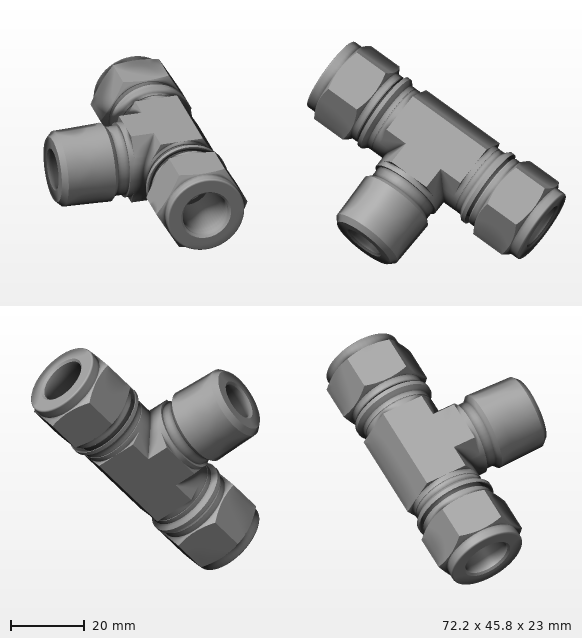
import cadquery as cq
import math


overall_length = 72.2
half_length = overall_length / 2
branch_reach = 32.9

body_flats = 20.6
body_radius = body_flats / 2
body_half_length = 12.55
body_flat_half_width = body_radius / math.sqrt(3)
back_corner = 12.0
flank_tangent = body_radius * math.cos(math.radians(30))
flank_tangent_height = body_radius * math.sin(math.radians(30))
branch_hex_end = 12.4
branch_collar_end = 13.9

fine_groove_inner = 14.1
fine_groove_outer = 14.45
fine_groove_radius = 10.1
ring_radius = 23.0 / 2
ring_cone_end = 17.05
ring_end = 18.2
ring_cone_start = ring_cone_end - (ring_radius - body_radius)
neck_radius = 18.9 / 2
ring_dish_radius = 11.3
ring_dish_bottom = ring_end - (ring_dish_radius - neck_radius)
skirt_start = 19.0
skirt_radius = 21.5 / 2
skirt_bevel_length = 0.3
skirt_bevel_drop = 0.15

nut_flats = 22.4
nut_start = 21.1
nut_end = 33.15
nut_cap_radius = 21.8 / 2
nut_rim_fillet = 0.5
nut_chamfer_angle = math.radians(30)

stud_neck_radius = 19.0 / 2
stud_flank_start = 16.9
stud_thread_start = 18.2
stud_thread_radius = 21.65 / 2
stud_tip_radius = 18.0 / 2
stud_tip_chamfer = 1.5
thread_taper = 1 / 16

through_radius = 10.4 / 2
tube_radius = 12.9 / 2
tube_depth = 18.05
mouth_chamfer = 0.6


def corner_radius(flats):
    """Distance from a hexagon's centre to its corners."""
    return flats / math.sqrt(3)


def hex_prism(flats, start, end):
    """Hexagonal bar along +X with flats facing +Z and -Z."""
    return (
        cq.Workplane("YZ", origin=(start, 0, 0))
        .polygon(6, 2 * corner_radius(flats))
        .extrude(end - start)
    )


def turned(profile):
    """Revolve an (axial, radial) profile about the X axis."""
    return cq.Workplane("XY").polyline(profile).close().revolve(360, (0, 0, 0), (1, 0, 0))


def to_branch(solid):
    """Swing a solid lying along +X round to -Y."""
    return solid.rotate((0, 0, 0), (0, 0, 1), -90)


def to_left(solid):
    """Mirror a solid on the +X side to the -X side."""
    return solid.mirror("YZ")


def cylinder(radius, length):
    """Cylinder on the X axis, from the centre towards +X."""
    return cq.Workplane("YZ").circle(radius).extrude(length)


def run_body():
    """Bar along X: hexagon flanks and a corner at the back, cut flat between the tangents at the front."""
    profile = [
        (-flank_tangent, flank_tangent_height),
        (-body_flat_half_width, body_radius),
        (body_flat_half_width, body_radius),
        (back_corner, 0),
        (body_flat_half_width, -body_radius),
        (-body_flat_half_width, -body_radius),
        (-flank_tangent, -flank_tangent_height),
    ]
    return (
        cq.Workplane("YZ", origin=(-body_half_length, 0, 0))
        .polyline(profile).close()
        .extrude(2 * body_half_length)
    )


def branch_body():
    """Branch hexagon with both side corners rounded, and its round collar."""
    bar = hex_prism(body_flats, 0, branch_hex_end)
    clear = cq.Workplane("XY").box(2 * branch_hex_end, 2 * flank_tangent, body_flats)
    return to_branch(bar.intersect(clear).union(cylinder(body_radius, branch_collar_end)))


def arm():
    """Turned nipple with its dished shoulder ring, leading from the body to the nut."""
    return turned([
        (0, 0),
        (0, body_radius),
        (fine_groove_inner, body_radius),
        (fine_groove_inner, fine_groove_radius),
        (fine_groove_outer, fine_groove_radius),
        (fine_groove_outer, body_radius),
        (ring_cone_start, body_radius),
        (ring_cone_end, ring_radius),
        (ring_end, ring_radius),
        (ring_end, ring_dish_radius),
        (ring_dish_bottom, neck_radius),
        (nut_start, neck_radius),
        (nut_start, 0),
    ])


def nut():
    """Hexagon nut with conical corner chamfers, a round skirt and a round cap."""
    reach = corner_radius(nut_flats)
    run = (reach - nut_cap_radius) * math.tan(nut_chamfer_angle)
    envelope = turned([
        (nut_start, 0),
        (nut_start, nut_cap_radius),
        (nut_start + run, reach),
        (nut_end - run, reach),
        (nut_end, nut_cap_radius),
        (nut_end, 0),
    ])
    skirt = turned([
        (skirt_start, 0),
        (skirt_start, skirt_radius - skirt_bevel_drop),
        (skirt_start + skirt_bevel_length, skirt_radius),
        (nut_start, skirt_radius),
        (nut_start, 0),
    ])
    cap = (
        cq.Workplane("YZ", origin=(nut_end, 0, 0))
        .circle(nut_cap_radius)
        .extrude(half_length - nut_end)
        .faces(">X").edges().fillet(nut_rim_fillet)
    )
    return hex_prism(nut_flats, nut_start, nut_end).intersect(envelope).union(skirt).union(cap)


def stud():
    """Relief neck and tapered thread blank ending in a chamfered tip."""
    tip_start = branch_reach - stud_tip_chamfer
    tip_start_radius = stud_thread_radius - (tip_start - stud_thread_start) * thread_taper / 2
    return to_branch(turned([
        (0, 0),
        (0, stud_neck_radius),
        (stud_flank_start, stud_neck_radius),
        (stud_thread_start, stud_thread_radius),
        (tip_start, tip_start_radius),
        (branch_reach, stud_tip_radius),
        (branch_reach, 0),
    ]))


def bore_mouth(radius, end):
    """45 degree countersink at the open end of a bore on the X axis."""
    return turned([
        (end - mouth_chamfer, 0),
        (end - mouth_chamfer, radius),
        (end, radius + mouth_chamfer),
        (end, 0),
    ])


def arm_bore():
    """Through passage with a wider tube socket and a countersunk mouth."""
    socket = cylinder(tube_radius, tube_depth).translate((half_length - tube_depth, 0, 0))
    return cylinder(through_radius, half_length).union(socket).union(
        bore_mouth(tube_radius, half_length)
    )


def branch_bore():
    """Passage from the centre out through the stud, with a countersunk mouth."""
    bore = cylinder(through_radius, branch_reach)
    return to_branch(bore.union(bore_mouth(through_radius, branch_reach)))


right_arm = arm().union(nut())
fitting = run_body().union(branch_body()).union(stud())
fitting = fitting.union(right_arm).union(to_left(right_arm))
fitting = fitting.cut(arm_bore()).cut(to_left(arm_bore()))
result = fitting.cut(branch_bore())